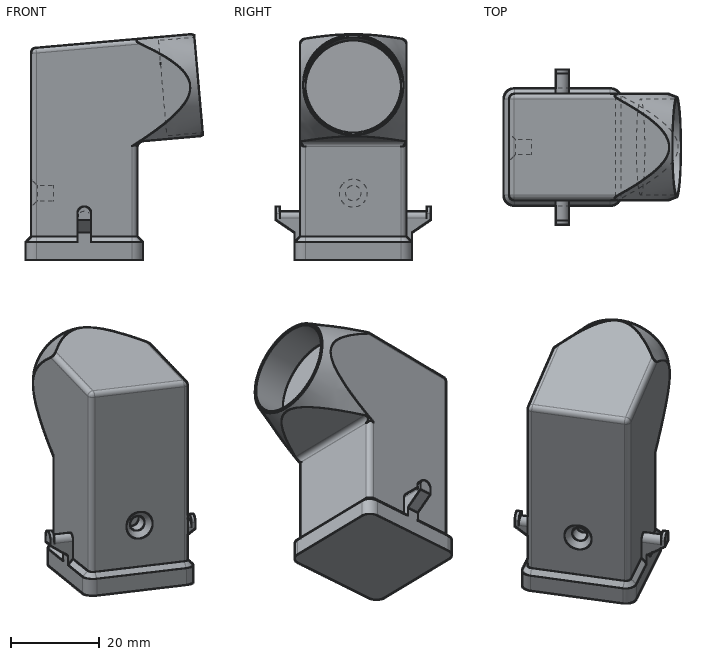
import cadquery as cq
import math

column_width = 24.0
rim_width = 26.5
rim_side_height = 4.0
edge_radius = 1.2
column_half = column_width / 2
rim_half = rim_width / 2
rim_overhang = rim_half - column_half
rim_height = rim_side_height + rim_overhang

spout_tilt = 5.0
spout_half_height = 11.55
spout_mouth_x = 25.7
spout_mouth_z = 39.4
mouth_radius = 11.3
cone_half_angle = 20.4
bore_radius = 10.8
bore_depth = 8.15
cone_overlap = 10.15

screw_z = 15.05
screw_radius = 1.75
countersink_radius = 3.15
screw_depth = 5.1

lug_width = 3.05
lug_reach = 17.5
lug_head_thickness = 0.95
lug_head_center_z = 10.5
lug_neck_center_z = 9.45
lug_tip_bottom_z = 9.05
lug_slope_bottom_z = 6.15

tilt = math.radians(spout_tilt)
axis_direction = cq.Vector(math.cos(tilt), 0, math.sin(tilt))
mouth_center = cq.Vector(spout_mouth_x, 0, spout_mouth_z)


def spout_point(back, up):
    """XZ position at a distance behind the mouth and a height above the spout axis."""
    x = spout_mouth_x - back * math.cos(tilt) - up * math.sin(tilt)
    z = spout_mouth_z - back * math.sin(tilt) + up * math.cos(tilt)
    return (x, z)


def height_on_spout(x, up):
    """Z of the line parallel to the spout axis, offset by `up`, at a given X."""
    return spout_mouth_z + (x - spout_mouth_x) * math.tan(tilt) + up / math.cos(tilt)


throat_z = height_on_spout(column_half, -spout_half_height)
throat_tangent_length = edge_radius / math.tan((math.pi / 2 + tilt) / 2)
throat_bottom_z = throat_z - throat_tangent_length


def make_column():
    column = cq.Workplane("XY").rect(column_width, column_width).extrude(throat_z)
    return column.edges("|Z").fillet(edge_radius)


def make_head():
    """Top of the column and the square spout, rounded along the top and the back."""
    throat_end_x = column_half + throat_tangent_length * math.cos(tilt)
    head = (
        cq.Workplane("XZ")
        .moveTo(-column_half, throat_bottom_z)
        .lineTo(column_half, throat_bottom_z)
        .radiusArc((throat_end_x, height_on_spout(throat_end_x, -spout_half_height)), edge_radius)
        .lineTo(*spout_point(0, -spout_half_height))
        .lineTo(*spout_point(0, spout_half_height))
        .lineTo(-column_half, height_on_spout(-column_half, spout_half_height))
        .close()
        .extrude(column_half, both=True)
    )
    top_normal = cq.Vector(-math.sin(tilt), 0, math.cos(tilt))
    top_edges = head.faces(cq.selectors.DirectionMinMaxSelector(top_normal)).edges("not(|Y and >X)")
    rounded_edges = head.edges("|Z").vals() + top_edges.vals()
    return head.newObject(rounded_edges).fillet(edge_radius)


def trim_spout(head):
    """Cut the square spout back to a cone that narrows towards the mouth."""
    cone_length = spout_mouth_x - column_half + cone_overlap
    back_radius = mouth_radius + cone_length * math.tan(math.radians(cone_half_angle))
    cone = cq.Solid.makeCone(mouth_radius, back_radius, cone_length, mouth_center, axis_direction * -1)
    block = cq.Workplane("XY").box(column_width, column_width, spout_mouth_z, centered=(False, True, False))
    block = block.translate((column_half - edge_radius, 0, throat_bottom_z))
    return head.cut(block.cut(cq.Workplane(cone)))


def make_rim():
    """Rounded square rim with a sloped top that meets the column."""
    corner_radius = edge_radius + rim_overhang
    rim = cq.Workplane("XY").rect(rim_width, rim_width).extrude(rim_height)
    return rim.edges("|Z").fillet(corner_radius).faces(">Z").chamfer(rim_overhang)


def make_lug():
    """Lug on the +Y side: ramped web, round-topped neck and a raised head."""
    lug_half = lug_width / 2
    head_start = lug_reach - lug_head_thickness

    def round_topped(start, end, center_z):
        pin = cq.Workplane("XZ", origin=(0, end, center_z)).circle(lug_half).extrude(end - start)
        web = cq.Workplane("XY").box(lug_width, end - start, center_z, centered=(True, False, False))
        return pin.union(web.translate((0, start, 0)))

    lug = round_topped(0, lug_reach, lug_neck_center_z)
    lug = lug.union(round_topped(head_start, lug_reach, lug_head_center_z))
    above_head = lug_head_center_z + lug_width
    side = [
        (0, 0),
        (rim_half, 0),
        (rim_half, lug_slope_bottom_z),
        (lug_reach, lug_tip_bottom_z),
        (lug_reach, above_head),
        (0, above_head),
    ]
    return lug.intersect(cq.Workplane("YZ").polyline(side).close().extrude(lug_width, both=True))


def make_screw_hole():
    """Blind hole with a 45 degree countersink, turned about the X axis."""
    sink_depth = countersink_radius - screw_radius
    section = [
        (0, 0),
        (0, countersink_radius),
        (sink_depth, screw_radius),
        (screw_depth, screw_radius),
        (screw_depth, 0),
    ]
    hole = cq.Workplane("XY").polyline(section).close().revolve(360, (0, 0, 0), (1, 0, 0))
    return hole.translate((-column_half, 0, screw_z))


bore = cq.Solid.makeCylinder(bore_radius, bore_depth, mouth_center, axis_direction * -1)
lug = make_lug()
result = make_column().union(trim_spout(make_head())).union(make_rim())
result = result.union(lug).union(lug.mirror("XZ"))
result = result.cut(cq.Workplane(bore)).cut(make_screw_hole())